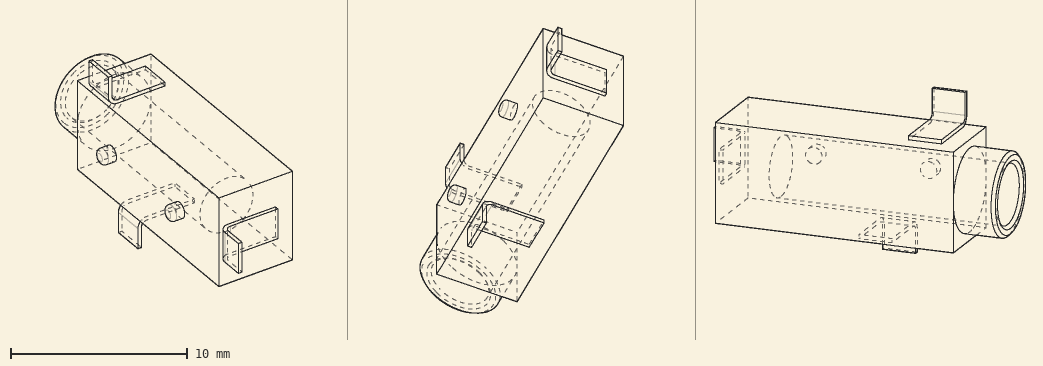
import cadquery as cq
import math

total_length = 19.0
tab_reach = 2.0
side_tab_reach = 1.98

sleeve_diameter = 5.0
sleeve_length = 2.49
block_depth = sleeve_diameter
block_height = 6.0
block_end = total_length - tab_reach
block_length = block_end - sleeve_length
mounting_face = -block_depth / 2

bore_diameter = 3.6
bore_depth = 14.0
rim_chamfer = 0.19

peg_diameter = 1.0
peg_length = 0.8
peg_rounding = 0.25
first_peg_x = 6.0
peg_spacing = 7.0

tab_width = 2.01
tab_thickness = 0.25
tab_height = 3.84
bend_outer_radius = 0.6
bend_inner_radius = bend_outer_radius - tab_thickness
upper_tab_x = 4.67
lower_tab_x = 7.7


def make_peg(x):
    """Round-tipped peg standing out of the mounting face toward -Y."""
    return (
        cq.Workplane("XZ", origin=(x, mounting_face, 0))
        .circle(peg_diameter / 2)
        .extrude(peg_length)
        .faces("<Y")
        .edges()
        .fillet(peg_rounding)
    )


def make_housing():
    """Block with a bored sleeve in front and two locating pegs."""
    block = cq.Workplane("XY").box(
        block_length, block_depth, block_height, centered=(False, True, True)
    ).translate((sleeve_length, 0, 0))
    sleeve = (
        cq.Workplane("YZ")
        .circle(sleeve_diameter / 2)
        .extrude(sleeve_length)
        .faces("<X")
        .edges()
        .chamfer(rim_chamfer)
    )
    bore = cq.Workplane("YZ").circle(bore_diameter / 2).extrude(bore_depth)
    body = block.union(sleeve).cut(bore)
    bore_rim = cq.selectors.RadiusNthSelector(0)
    body = body.faces("<X").edges(bore_rim).chamfer(rim_chamfer)
    for x in (first_peg_x, first_peg_x + peg_spacing):
        body = body.union(make_peg(x))
    return body


def make_tab(reach):
    """L-shaped tab: wall against the plane X = 0, foot pointing to +X."""
    wall_top = mounting_face + tab_height
    foot_top = mounting_face + tab_thickness
    bend_y = mounting_face + bend_outer_radius
    bend_x = bend_outer_radius
    diagonal = math.sqrt(0.5)
    outer_offset = bend_outer_radius * diagonal
    inner_offset = bend_inner_radius * diagonal
    return (
        cq.Workplane("XY", origin=(0, 0, -tab_width / 2))
        .moveTo(0, wall_top)
        .lineTo(0, bend_y)
        .threePointArc((bend_x - outer_offset, bend_y - outer_offset), (bend_x, mounting_face))
        .lineTo(reach, mounting_face)
        .lineTo(reach, foot_top)
        .lineTo(bend_x, foot_top)
        .threePointArc((bend_x - inner_offset, bend_y - inner_offset), (tab_thickness, bend_y))
        .lineTo(tab_thickness, wall_top)
        .close()
        .extrude(tab_width)
    )


tab_places = [
    (tab_reach, 0, block_end, 0),
    (side_tab_reach, -90, upper_tab_x, block_height / 2),
    (side_tab_reach, 90, lower_tab_x, -block_height / 2),
]

housing = make_housing()
tabs = []
for reach, angle, face_x, face_z in tab_places:
    tab = make_tab(reach).rotate((0, 0, 0), (0, 1, 0), angle).translate((face_x, 0, face_z))
    tabs.append(tab.val())

result = cq.Compound.makeCompound([housing.solids().val(), *tabs])